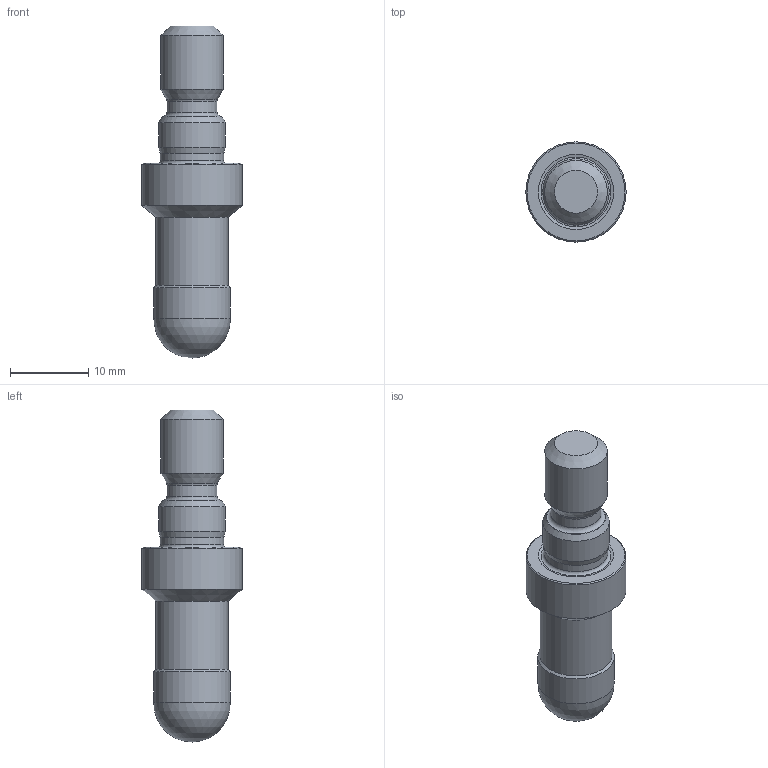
import cadquery as cq
import math


stud_top = 17.5
stud_radius = 8.0 / 2
stud_bottom = 9.43
stud_tip_radius = 5.5 / 2
stud_chamfer_height = 1.2

neck_radius = 6.38 / 2
neck_fillet = 0.55
runout_angle = math.radians(30)

land_radius = 8.5 / 2
land_top = 5.95
land_chamfer_angle = math.radians(30)
land_chamfer_height = 0.77
land_bottom = 2.0

undercut_radius = 8.1 / 2
undercut_depth = 0.1
undercut_fillet = 0.4
undercut_rim_radius = 9.6 / 2
undercut_entry_angle = math.radians(15)

collar_radius = 12.8 / 2
collar_rim_chamfer = 0.15
collar_height = 5.4
collar_cone_bottom = -6.9

shank_radius = 9.2 / 2

tip_radius = 9.75 / 2
tip_top = -15.62
overall_length = 42.38
tip_bottom = stud_top - overall_length
nose_height = 5.08
tip_rim_chamfer = tip_radius - shank_radius


def make_pin():
    """Stud, neck, land, collar and shank turned as one piece."""
    runout_corner = stud_bottom - (stud_radius - neck_radius) / math.tan(runout_angle)
    neck_top = runout_corner - neck_fillet * math.tan(runout_angle / 2)
    neck_center_radius = neck_radius + neck_fillet

    def on_neck_fillet(angle):
        return (neck_center_radius - neck_fillet * math.cos(angle), neck_top + neck_fillet * math.sin(angle))

    neck_bottom = land_top + neck_fillet
    fillet_sag = 1 - math.sqrt(0.5)
    land_top_radius = land_radius - land_chamfer_height * math.tan(land_chamfer_angle)

    undercut_floor = -undercut_depth
    undercut_top = land_bottom - (land_radius - undercut_radius) / math.tan(undercut_entry_angle)

    profile = (
        cq.Workplane("XZ")
        .moveTo(0, stud_top)
        .lineTo(stud_tip_radius, stud_top)
        .lineTo(stud_radius, stud_top - stud_chamfer_height)
        .lineTo(stud_radius, stud_bottom)
        .lineTo(*on_neck_fillet(runout_angle))
        .threePointArc(on_neck_fillet(runout_angle / 2), on_neck_fillet(0))
        .lineTo(neck_radius, neck_bottom)
        .threePointArc(
            (neck_radius + neck_fillet * fillet_sag, land_top + neck_fillet * fillet_sag),
            (neck_radius + neck_fillet, land_top),
        )
        .lineTo(land_top_radius, land_top)
        .lineTo(land_radius, land_top - land_chamfer_height)
        .lineTo(land_radius, land_bottom)
        .lineTo(undercut_radius, undercut_top)
        .lineTo(undercut_radius, undercut_floor + undercut_fillet)
        .threePointArc(
            (undercut_radius + undercut_fillet * fillet_sag, undercut_floor + undercut_fillet * fillet_sag),
            (undercut_radius + undercut_fillet, undercut_floor),
        )
        .lineTo(undercut_rim_radius, 0)
        .lineTo(collar_radius - collar_rim_chamfer, 0)
        .lineTo(collar_radius, -collar_rim_chamfer)
        .lineTo(collar_radius, -collar_height)
        .lineTo(shank_radius, collar_cone_bottom)
        .lineTo(shank_radius, tip_top)
        .lineTo(0, tip_top)
        .close()
    )
    return profile.revolve(360, (0, 0, 0), (0, 1, 0))


def make_tip():
    """Round-nosed tip seated flat against the end of the shank."""
    nose_radius = (tip_radius**2 + nose_height**2) / (2 * nose_height)
    nose_center = tip_bottom + nose_radius
    nose_mid = nose_radius * math.sqrt(0.5)
    profile = (
        cq.Workplane("XZ")
        .moveTo(0, tip_top)
        .lineTo(shank_radius, tip_top)
        .lineTo(tip_radius, tip_top - tip_rim_chamfer)
        .lineTo(tip_radius, tip_bottom + nose_height)
        .threePointArc((nose_mid, nose_center - nose_mid), (0, tip_bottom))
        .close()
    )
    return profile.revolve(360, (0, 0, 0), (0, 1, 0))


pin = make_pin()
tip = make_tip()
result = cq.Compound.makeCompound([pin.val(), tip.val()])